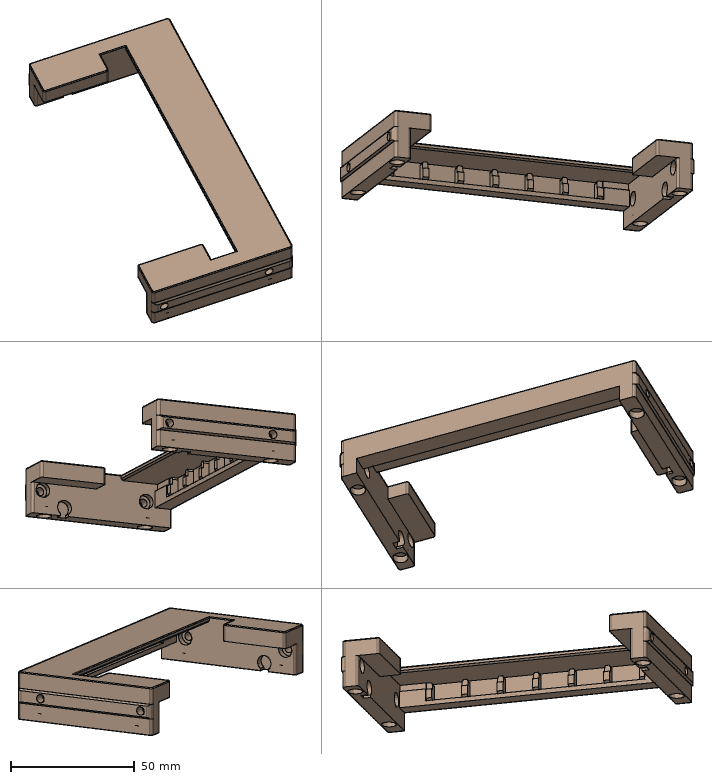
import cadquery as cq

RAIL_WIDTH = 131.4
DEPTH = 62.0
HEIGHT = 19.85

RAIL_PROJECTION = 0.9
BODY_WIDTH = RAIL_WIDTH - 2 * RAIL_PROJECTION
ARM_THICKNESS = 7.0
INNER_WIDTH = BODY_WIDTH - 2 * ARM_THICKNESS
OUTER_FILLET = 1.2
INNER_FILLET = 1.0
TOP_CHAMFER = 0.4

PLATE_THICKNESS = 2.25
PLATE_DEPTH = 22.2
PLATE_EDGE_CHAMFER = 0.75

LEDGE_GAP = 97.7
LEDGE_LENGTH = 28.8
LEDGE_THICKNESS = 7.0

BACK_WALL_HEIGHT = 12.1
BACK_WALL_THICKNESS = 7.0
BACK_STEP_DEPTH = 1.0
BACK_STEP_DROP = 5.15
RIB_COUNT = 7
RIB_PITCH = 15.15
RIB_WIDTH = 2.5
CELL_FLOOR_Z = 9.65
CELL_DEPTH = 4.0
RIB_FOOT_CHAMFER = 1.3
RIB_SETBACK = 0.5
RIB_TOP_RELIEF = 0.5
RIB_TOP_RELIEF_HEIGHT = 0.9

RAIL_HEIGHT = 6.15
RAIL_CENTRE_Z = HEIGHT / 2
RAIL_CHAMFER = 0.75
RAIL_END_FILLET = OUTER_FILLET + RAIL_PROJECTION

SCREW_DIAMETER = 3.4
SCREW_FRONT_OFFSET = 4.85
SCREW_SPACING = 46.2
SCREW_HEAD_DIAMETER = 6.0
SCREW_HEAD_DEPTH = 3.0

FOOT_POCKET_DIAMETER = 6.15
FOOT_POCKET_DEPTH = 3.3
FOOT_POCKET_FRONT_OFFSET = 7.0
FOOT_POCKET_SPACING = 45.0

RECESS_DIAMETER = 6.12
RECESS_DEPTH = 3.0
RECESS_FRONT_OFFSET = 14.5
RECESS_CENTRE_Z = 3.5
RECESS_SLOT_WIDTH = 3.7

EDGE_SEARCH_REACH = 0.2

FRONT_Y = -DEPTH / 2
BACK_Y = DEPTH / 2
PLATE_FRONT_Y = BACK_Y - PLATE_DEPTH
LEDGE_BACK_Y = FRONT_Y + LEDGE_LENGTH
PLATE_UNDERSIDE_Z = HEIGHT - PLATE_THICKNESS
BACK_WALL_FRONT_Y = BACK_Y - BACK_WALL_THICKNESS


def block(x_range, y_range, z_range):
    """Axis-aligned block between the given limits."""
    (x0, x1), (y0, y1), (z0, z1) = x_range, y_range, z_range
    return cq.Workplane("XY").box(x1 - x0, y1 - y0, z1 - z0, centered=False).translate((x0, y0, z0))


def centred(width):
    """Limits of a span of the given width about zero."""
    return (-width / 2, width / 2)


def make_frame():
    """Outer block hollowed to two arms, a top plate, a back wall and two ledges."""
    frame = cq.Workplane("XY").box(BODY_WIDTH, DEPTH, HEIGHT, centered=(True, True, False))
    frame = frame.edges("|Z").fillet(OUTER_FILLET)
    inner = centred(INNER_WIDTH)
    ledge_gap = centred(LEDGE_GAP)
    under_ledges = (0, HEIGHT - LEDGE_THICKNESS)
    frame = frame.cut(block(inner, (FRONT_Y, LEDGE_BACK_Y), under_ledges))
    frame = frame.cut(block(ledge_gap, (FRONT_Y, LEDGE_BACK_Y), (0, HEIGHT)))
    frame = frame.cut(block(inner, (LEDGE_BACK_Y, PLATE_FRONT_Y), (0, HEIGHT)))
    frame = frame.cut(block(inner, (PLATE_FRONT_Y, BACK_WALL_FRONT_Y), (0, PLATE_UNDERSIDE_Z)))
    frame = frame.cut(block(inner, (BACK_WALL_FRONT_Y, BACK_Y), (0, HEIGHT - BACK_WALL_HEIGHT)))
    return frame


def inner_corner_edges(frame, half_width, y, z):
    """Upright edges through (-half_width, y) and (half_width, y) that are centred at height z."""
    found = []
    for x in (-half_width, half_width):
        low = (x - EDGE_SEARCH_REACH, y - EDGE_SEARCH_REACH, z - EDGE_SEARCH_REACH)
        high = (x + EDGE_SEARCH_REACH, y + EDGE_SEARCH_REACH, z + EDGE_SEARCH_REACH)
        found += frame.edges("|Z").edges(cq.selectors.BoxSelector(low, high)).vals()
    return frame.newObject(found)


def round_inner_corners(frame):
    """Round the free upright corners of the ledges and of the arms' front ends."""
    ledge_z = HEIGHT - LEDGE_THICKNESS / 2
    arm_z = (HEIGHT - LEDGE_THICKNESS) / 2
    for half_width, y, z in (
        (LEDGE_GAP / 2, FRONT_Y, ledge_z),
        (LEDGE_GAP / 2, LEDGE_BACK_Y, ledge_z),
        (INNER_WIDTH / 2, FRONT_Y, arm_z),
    ):
        frame = inner_corner_edges(frame, half_width, y, z).fillet(INNER_FILLET)
    return frame


def corner_wedge(width, y, z, leg):
    """Three-sided bar along X with its square corner at (y, z) and equal legs toward +Y and +Z."""
    profile = cq.Workplane("YZ", origin=(-width / 2, 0, 0))
    return profile.polyline([(y, z), (y + leg, z), (y, z + leg)]).close().extrude(width)


def bevel_plate_edge(frame):
    """Bevel the lower front edge of the top plate."""
    return frame.cut(corner_wedge(INNER_WIDTH, PLATE_FRONT_Y, PLATE_UNDERSIDE_Z, PLATE_EDGE_CHAMFER))


def wall_cut(width, depth, bottom_z):
    """Block that removes the face of the back wall from bottom_z up to the top plate."""
    y_range = (BACK_WALL_FRONT_Y, BACK_WALL_FRONT_Y + depth)
    return block(centred(width), y_range, (bottom_z, PLATE_UNDERSIDE_Z))


def make_cell(centre_x):
    """Cell between two ribs, slightly wider at the top where the ribs are relieved."""
    half_width = (RIB_PITCH - RIB_WIDTH) / 2
    half_top = half_width + RIB_TOP_RELIEF
    relief_z = PLATE_UNDERSIDE_Z - RIB_TOP_RELIEF_HEIGHT
    outline = [
        (-half_width, CELL_FLOOR_Z),
        (half_width, CELL_FLOOR_Z),
        (half_width, relief_z),
        (half_top, PLATE_UNDERSIDE_Z),
        (-half_top, PLATE_UNDERSIDE_Z),
        (-half_width, relief_z),
    ]
    back_y = BACK_WALL_FRONT_Y + CELL_DEPTH
    return cq.Workplane("XZ", origin=(centre_x, back_y, 0)).polyline(outline).close().extrude(CELL_DEPTH)


def cut_back_wall(frame):
    """Step the wall back along its top, set the ribs back and sink cells between them."""
    frame = frame.cut(wall_cut(INNER_WIDTH, BACK_STEP_DEPTH, HEIGHT - BACK_STEP_DROP))
    first_rib_x = -RIB_PITCH * (RIB_COUNT - 1) / 2
    row_width = RIB_WIDTH - 2 * first_rib_x
    frame = frame.cut(wall_cut(row_width, RIB_SETBACK, CELL_FLOOR_Z))
    frame = frame.cut(wall_cut(row_width, BACK_STEP_DEPTH + RIB_SETBACK, HEIGHT - BACK_STEP_DROP))
    for i in range(RIB_COUNT - 1):
        frame = frame.cut(make_cell(first_rib_x + (i + 0.5) * RIB_PITCH))
    rib_front_y = BACK_WALL_FRONT_Y + RIB_SETBACK
    return frame.cut(corner_wedge(row_width, rib_front_y, CELL_FLOOR_Z, RIB_FOOT_CHAMFER))


def make_rails():
    """Bevelled rails along both outer sides, rounded at their ends."""
    bevelled_bar = (
        cq.Workplane("XY")
        .box(RAIL_WIDTH, DEPTH, RAIL_HEIGHT)
        .edges("|Y")
        .chamfer(RAIL_CHAMFER)
    )
    rounded_bar = cq.Workplane("XY").box(RAIL_WIDTH, DEPTH, RAIL_HEIGHT).edges("|Z").fillet(RAIL_END_FILLET)
    between_rails = cq.Workplane("XY").box(BODY_WIDTH - 2 * RAIL_END_FILLET, DEPTH, RAIL_HEIGHT)
    return bevelled_bar.intersect(rounded_bar).cut(between_rails).translate((0, 0, RAIL_CENTRE_Z))


def bar_along_x(diameter, length, y, z):
    """Round bar of the given length along X, centred on the part."""
    return cq.Workplane("YZ", origin=(0, y, z)).circle(diameter / 2).extrude(length / 2, both=True)


def cut_screw_holes(part):
    """Screw holes through both arms, with head recesses on the inner faces."""
    head_reach = INNER_WIDTH + 2 * SCREW_HEAD_DEPTH
    first_y = FRONT_Y + SCREW_FRONT_OFFSET
    for y in (first_y, first_y + SCREW_SPACING):
        part = part.cut(bar_along_x(SCREW_DIAMETER, RAIL_WIDTH, y, RAIL_CENTRE_Z))
        heads = bar_along_x(SCREW_HEAD_DIAMETER, head_reach, y, RAIL_CENTRE_Z)
        part = part.cut(heads.cut(block(centred(INNER_WIDTH), (FRONT_Y, BACK_Y), (0, HEIGHT))))
    return part


def cut_foot_pockets(part):
    """Blind round pockets in the undersides of the arms."""
    pocket_x = (BODY_WIDTH - ARM_THICKNESS) / 2
    first_y = FRONT_Y + FOOT_POCKET_FRONT_OFFSET
    spots = [(x, y) for x in (-pocket_x, pocket_x) for y in (first_y, first_y + FOOT_POCKET_SPACING)]
    return part.cut(
        cq.Workplane("XY").pushPoints(spots).circle(FOOT_POCKET_DIAMETER / 2).extrude(FOOT_POCKET_DEPTH)
    )


def cut_arm_recesses(part):
    """Keyhole-shaped recess in the inner face of each arm."""
    reach = INNER_WIDTH + 2 * RECESS_DEPTH
    centre_y = FRONT_Y + RECESS_FRONT_OFFSET
    slot_y = (centre_y - RECESS_SLOT_WIDTH / 2, centre_y + RECESS_SLOT_WIDTH / 2)
    part = part.cut(bar_along_x(RECESS_DIAMETER, reach, centre_y, RECESS_CENTRE_Z))
    return part.cut(block(centred(reach), slot_y, (0, RECESS_CENTRE_Z)))


frame = round_inner_corners(make_frame())
frame = frame.faces(">Z").chamfer(TOP_CHAMFER)
frame = cut_back_wall(bevel_plate_edge(frame))
part = cut_screw_holes(frame.union(make_rails()))
result = cut_arm_recesses(cut_foot_pockets(part))